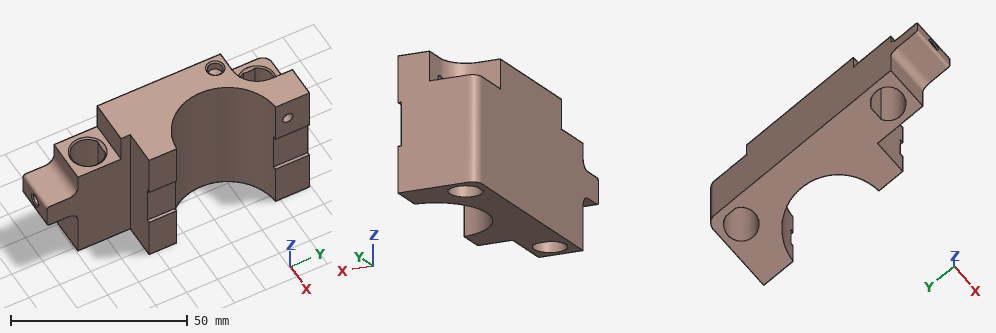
import cadquery as cq
import math

width = 25.0
length = 79.0
height = 41.0
narrow_width = 14.0
wide_start = 27.0
ledge_height = 32.1
step_end = 24.0
corner_radius = 3.0

tongue_length = 10.0
tongue_thickness = 8.0
tongue_root_radius = 3.0
tongue_tip_radius = 1.0
tongue_z = 20.55

bore_diameter = 10.0
rear_flat_offset = 4.7
front_flat_offset = 4.5
bore_chamfer = 0.5
bore_inset = 7.0
rear_bore_y = length - bore_inset
front_bore_y = tongue_length + bore_inset

pocket_size = 15.0
pocket_radius = pocket_size - bore_inset

cutout_radius = 16.0
cutout_x = 26.0
cutout_y = 52.0
relief_depth = 1.0
relief_bottom = 14.0
relief_top = 27.0

screw_diameter = 3.3
screw_chamfer = 0.4
cross_hole_diameter = 3.3
cross_hole_z = 34.05
blind_diameter = 4.5
blind_depth = 3.0
blind_chamfer = 0.5
blind_x = 3.95
blind_y = 60.1
drill_point_angle = 118.0


def box(x_size, y_size, z_size, x=0.0, y=0.0, z=0.0):
    """Box whose lowest corner is at (x, y, z)."""
    return cq.Workplane("XY").box(x_size, y_size, z_size, centered=False).translate((x, y, z))


def chamfered_hole(diameter, depth, chamfer):
    """Cutter starting at the origin and running toward -Z, with a 45 degree mouth."""
    radius = diameter / 2
    return (
        cq.Workplane("XZ")
        .polyline([(0, 0), (radius + chamfer, 0), (radius, -chamfer), (radius, -depth), (0, -depth)])
        .close()
        .revolve(360, (0, 0), (0, 1))
    )


def cone_below(radius, depth):
    """Cone with its base at the origin and its apex toward -Z."""
    cone = cq.Solid.makeCone(radius, 0, depth, pnt=cq.Vector(0, 0, 0), dir=cq.Vector(0, 0, -1))
    return cq.Workplane("XY").add(cone)


def flatted_bore(flat_offset, flat_direction):
    """Through-bore cutter with a flat on the side at flat_direction degrees from +X."""
    depth = ledge_height
    shaft = cq.Workplane("XY").circle(bore_diameter / 2).extrude(-depth)
    shaft = shaft.cut(box(bore_diameter, 2 * bore_diameter, depth, flat_offset, -bore_diameter, -depth))
    mouth_radius = bore_diameter / 2 + bore_chamfer
    cutter = shaft.union(cone_below(mouth_radius, mouth_radius))
    return cutter.rotate((0, 0, 0), (0, 0, 1), flat_direction)


body = box(narrow_width, length - tongue_length, height, y=tongue_length)
body = body.union(box(width, length - wide_start, height, y=wide_start))
body = body.edges("|Z and <X and >Y").fillet(corner_radius)
body = body.cut(box(narrow_width, step_end, height - ledge_height, z=ledge_height))

tongue_bottom = tongue_z - tongue_thickness / 2
tongue = box(narrow_width, tongue_length, tongue_thickness, z=tongue_bottom)
tongue = tongue.edges("|X and <Y").fillet(tongue_tip_radius)
body = body.union(tongue)
root_edges = cq.selectors.BoxSelector(
    (-0.8, tongue_length - 0.8, tongue_bottom - 0.8),
    (narrow_width + 0.8, tongue_length + 0.8, tongue_bottom + tongue_thickness + 0.8),
)
body = body.edges(root_edges).edges("|X").fillet(tongue_root_radius)

pocket = box(pocket_size, pocket_size, height - ledge_height, 0, length - pocket_size, ledge_height)
pocket = pocket.edges("|Z and >X and <Y").fillet(pocket_radius)
body = body.cut(pocket)

cutout = cq.Workplane("XY").center(cutout_x, cutout_y).circle(cutout_radius).extrude(height)
body = body.cut(cutout)
relief = box(
    relief_depth, length - wide_start, relief_top - relief_bottom,
    width - relief_depth, wide_start, relief_bottom,
)
body = body.cut(relief)

rear_bore = flatted_bore(rear_flat_offset, 180)
front_bore = flatted_bore(front_flat_offset, 90)
body = body.cut(rear_bore.translate((bore_inset, rear_bore_y, ledge_height)))
body = body.cut(front_bore.translate((bore_inset, front_bore_y, ledge_height)))

screw_hole = chamfered_hole(screw_diameter, front_bore_y, screw_chamfer)
screw_hole = screw_hole.rotate((0, 0, 0), (1, 0, 0), 90)
body = body.cut(screw_hole.translate((bore_inset, 0, tongue_z)))

cross_hole = (
    cq.Workplane("YZ")
    .center(rear_bore_y, cross_hole_z)
    .circle(cross_hole_diameter / 2)
    .extrude(width)
)
body = body.cut(cross_hole)

point_depth = blind_diameter / 2 / math.tan(math.radians(drill_point_angle / 2))
drill_point = cone_below(blind_diameter / 2, point_depth).translate((0, 0, -blind_depth))
blind_hole = chamfered_hole(blind_diameter, blind_depth, blind_chamfer).union(drill_point)
body = body.cut(blind_hole.translate((blind_x, blind_y, height)))

result = body